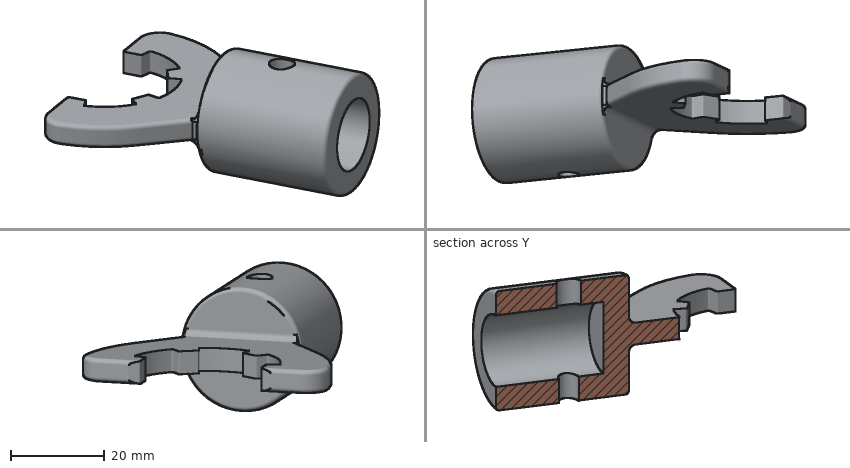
import cadquery as cq
import math

total_length = 62.0
jaw_span = 54.8
body_diameter = 27.0
body_length = 31.0
plate_thickness = 5.0
edge_radius = 1.0

jaw_center_x = 2.8
corner_radius = 5.0
root_radius = 16.55
tooth_tip_distance = 13.5
tooth_tip_half_width = 2.2
tooth_root_half_width = 3.0
tooth_edge_radius = 0.3
tooth_angles = [-90, -30, 30, 90]
arc_end_angle = math.radians(49.7)

neck_half_width = 13.0
neck_fillet = 1.5

socket_diameter = 16.0
socket_depth = 25.0
screw_hole_x = 45.0
screw_clearance_diameter = 5.5
screw_thread_diameter = 4.5

body_radius = body_diameter / 2
body_start = total_length - body_length
corner_y = jaw_span / 2 - corner_radius
corner_offset = corner_radius - jaw_center_x
outer_radius = corner_radius + math.hypot(corner_offset, corner_y)
arc_start_angle = math.atan2(corner_y, corner_offset)


def on_outer_arc(angle):
    return (jaw_center_x + outer_radius * math.cos(angle), outer_radius * math.sin(angle))


def on_corner_arc(angle):
    return (corner_radius * (1 + math.cos(angle)), corner_y + corner_radius * math.sin(angle))


def mirrored(point):
    return (point[0], -point[1])


def make_plate():
    arc_start = on_outer_arc(arc_start_angle)
    arc_middle = on_outer_arc((arc_start_angle + arc_end_angle) / 2)
    arc_end = on_outer_arc(arc_end_angle)
    corner_middle = on_corner_arc((arc_start_angle + math.pi) / 2)
    flank_run = (arc_end[1] - neck_half_width) * math.tan(arc_end_angle)
    neck = (arc_end[0] + flank_run, neck_half_width)
    plate = (
        cq.Workplane("XY")
        .moveTo(0, -corner_y)
        .lineTo(0, corner_y)
        .threePointArc(corner_middle, arc_start)
        .threePointArc(arc_middle, arc_end)
        .lineTo(*neck)
        .lineTo(body_start, neck_half_width)
        .lineTo(body_start, -neck_half_width)
        .lineTo(*mirrored(neck))
        .lineTo(*mirrored(arc_end))
        .threePointArc(mirrored(arc_middle), mirrored(arc_start))
        .threePointArc(mirrored(corner_middle), (0, -corner_y))
        .close()
        .extrude(plate_thickness / 2, both=True)
    )
    return plate.faces("|Z").edges("not(>X)").fillet(edge_radius)


def make_tooth(angle):
    slope = (tooth_root_half_width - tooth_tip_half_width) / (root_radius - tooth_tip_distance)
    base_distance = root_radius + edge_radius
    base_half_width = tooth_tip_half_width + slope * (base_distance - tooth_tip_distance)
    return (
        cq.Workplane("XY")
        .polyline([
            (tooth_tip_distance, -tooth_tip_half_width),
            (base_distance, -base_half_width),
            (base_distance, base_half_width),
            (tooth_tip_distance, tooth_tip_half_width),
        ])
        .close()
        .extrude(plate_thickness, both=True)
        .rotate((0, 0, 0), (0, 0, 1), angle)
    )


def make_jaw_opening():
    opening = cq.Workplane("XY").circle(root_radius).extrude(plate_thickness, both=True)
    for angle in tooth_angles:
        opening = opening.cut(make_tooth(angle))
    opening = opening.edges("|Z").fillet(tooth_edge_radius)
    return opening.translate((jaw_center_x, 0, 0))


def make_neck():
    half = plate_thickness / 2
    start = body_start - neck_fillet
    top = half + neck_fillet
    bow = neck_fillet * math.sqrt(0.5)
    flare = (
        cq.Workplane("XZ")
        .moveTo(start, -half)
        .lineTo(start, half)
        .threePointArc((start + bow, top - bow), (body_start, top))
        .lineTo(body_start + edge_radius, top)
        .lineTo(body_start + edge_radius, -top)
        .lineTo(body_start, -top)
        .threePointArc((start + bow, bow - top), (start, -half))
        .close()
        .extrude(neck_half_width, both=True)
    )
    round_limit = (
        cq.Workplane("YZ", origin=(start, 0, 0))
        .circle(neck_half_width)
        .extrude(neck_fillet + edge_radius)
    )
    return flare.intersect(round_limit)


def make_body():
    return (
        cq.Workplane("YZ", origin=(body_start, 0, 0))
        .circle(body_radius)
        .extrude(body_length)
        .edges()
        .fillet(edge_radius)
    )


def make_socket():
    return (
        cq.Workplane("YZ", origin=(total_length - socket_depth, 0, 0))
        .circle(socket_diameter / 2)
        .extrude(socket_depth)
    )


def make_screw_hole():
    axis = cq.Workplane("XY", origin=(screw_hole_x, 0, 0))
    clearance = axis.circle(screw_clearance_diameter / 2).extrude(body_radius)
    thread = axis.circle(screw_thread_diameter / 2).extrude(-body_radius)
    return clearance.union(thread)


jaw = make_plate().cut(make_jaw_opening())
result = make_body().union(jaw).union(make_neck())
result = result.cut(make_socket()).cut(make_screw_hole())